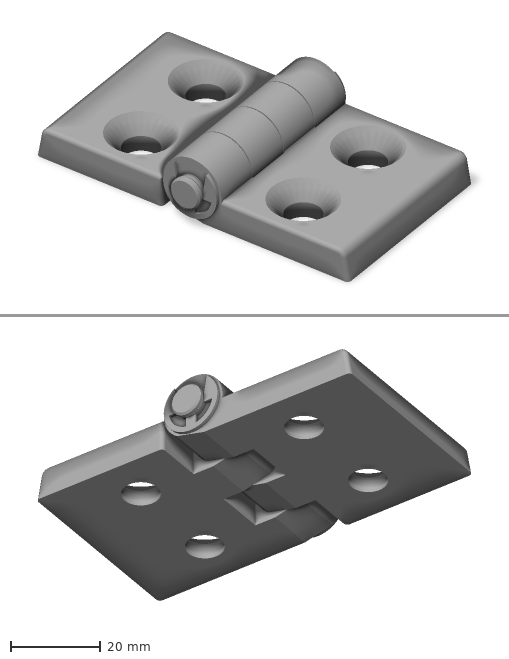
import cadquery as cq
import math

hinge_span = 85.97
leaf_width = 48.0
leaf_thickness = 8.0
leaf_end_slope = 10.0
end_fillet = 2.2
side_fillet = 1.0

knuckle_radius = 8.0
axis_height = 16.5 - knuckle_radius
knuckle_count = 4
knuckle_gap = 0.3
knuckle_pitch = (leaf_width + knuckle_gap) / knuckle_count
knuckle_length = knuckle_pitch - knuckle_gap
pocket_face_x = 8.3
heel_x = 2.95
heel_slope = 14.0

hole_x = 22.35
hole_spacing = 25.0
hole_diameter = 9.0
countersink_diameter = 17.0
countersink_angle = 90.0

pin_length = 54.25
pin_radius = 4.0
pin_chamfer = 0.45
groove_radius = 3.7
groove_width = 1.35

clip_thickness = 1.0
clip_radius = 7.35
clip_relief_radius = 6.0
clip_relief_top = -1.0
clip_prong_half_width = 1.3
mouth_half_width = 4.43
mouth_slope = 9.3


def cylinder_along_y(radius, start_y, length):
    """Cylinder on the hinge axis, from start_y toward +Y."""
    return cq.Workplane(cq.Solid.makeCylinder(
        radius, length, cq.Vector(0, start_y, axis_height), cq.Vector(0, 1, 0)))


def slab(x_min, x_max, y_min, y_max, z_min, z_max):
    """Axis-aligned block between the given limits."""
    size = (x_max - x_min, y_max - y_min, z_max - z_min)
    return cq.Workplane().box(*size, centered=False).translate((x_min, y_min, z_min))


def knuckle_start(index):
    return -leaf_width / 2 + index * knuckle_pitch


def relieve_underside(leaf):
    """Cut the slope that rises from the heel, so that the leaf clears the other one when folded."""
    run = heel_x + knuckle_radius
    rise = run * math.tan(math.radians(heel_slope))
    wedge = (
        cq.Workplane("XZ")
        .polyline([(-heel_x, 0), (knuckle_radius, 0), (knuckle_radius, rise)])
        .close()
        .extrude(leaf_width, both=True)
    )
    return leaf.cut(wedge)


def make_leaf():
    """Leaf on the -X side, carrying the second and fourth knuckles counted from -Y."""
    outer_x = -hinge_span / 2
    top_outer_x = outer_x + leaf_thickness * math.tan(math.radians(leaf_end_slope))
    half_width = leaf_width / 2
    leaf = (
        cq.Workplane("XZ")
        .polyline([(outer_x, 0), (0, 0), (0, axis_height),
                   (-knuckle_radius, leaf_thickness), (top_outer_x, leaf_thickness)])
        .close()
        .extrude(half_width, both=True)
    )
    for index in range(0, knuckle_count, 2):
        start = knuckle_start(index) - knuckle_gap
        end = knuckle_start(index + 1)
        leaf = leaf.cut(slab(-pocket_face_x, knuckle_radius, start, end, 0, 2 * axis_height))

    end_edge = cq.selectors.NearestToPointSelector((top_outer_x, 0, leaf_thickness))
    leaf = leaf.edges(end_edge).fillet(end_fillet)
    middle_x = -hinge_span / 4
    side_edges = cq.Workplane().newObject([
        leaf.edges(cq.selectors.NearestToPointSelector(point)).val()
        for point in [
            (middle_x, -half_width, leaf_thickness),
            (middle_x, half_width, leaf_thickness),
            (-pocket_face_x, -half_width, leaf_thickness / 2),
        ]
    ])
    leaf = cq.Workplane(leaf.val().fillet(side_fillet, side_edges.vals()))

    for index in range(1, knuckle_count, 2):
        leaf = leaf.union(cylinder_along_y(knuckle_radius, knuckle_start(index), knuckle_length))
    leaf = relieve_underside(leaf)
    leaf = leaf.cut(cylinder_along_y(pin_radius, -half_width, leaf_width))

    return (
        leaf.copyWorkplane(cq.Workplane("XY", origin=(0, 0, leaf_thickness)))
        .pushPoints([(-hole_x, -hole_spacing / 2), (-hole_x, hole_spacing / 2)])
        .cskHole(hole_diameter, countersink_diameter, countersink_angle)
    )


def make_pin():
    """Pin with a clip groove outside each end knuckle and a chamfered head beyond each groove."""
    neck_length = leaf_width + 2 * groove_width
    head_length = (pin_length - neck_length) / 2
    pin = cylinder_along_y(pin_radius, -leaf_width / 2, leaf_width)
    pin = pin.union(cylinder_along_y(groove_radius, -neck_length / 2, neck_length))
    for start in (-pin_length / 2, neck_length / 2):
        head = cylinder_along_y(pin_radius, start, head_length)
        pin = pin.union(head.faces("<Y or >Y").chamfer(pin_chamfer))
    return pin


def make_clip(start):
    """E-shaped clip, mouth up, in a pin groove."""
    end = start + clip_thickness
    clip = cylinder_along_y(clip_radius, start, clip_thickness)

    relief = cylinder_along_y(clip_relief_radius, start, clip_thickness)
    relief = relief.intersect(
        slab(-clip_radius, clip_radius, start, end, 0, axis_height + clip_relief_top))
    relief = relief.cut(
        slab(-clip_prong_half_width, clip_prong_half_width, start, end, 0, axis_height))
    clip = clip.cut(relief)

    rim_height = math.sqrt(clip_radius**2 - mouth_half_width**2)
    taper = math.tan(math.radians(mouth_slope))
    throat = mouth_half_width - rim_height * taper
    opening = throat + clip_radius * taper
    top = axis_height + clip_radius
    mouth = (
        cq.Workplane("XZ", origin=(0, end, 0))
        .polyline([(-throat, axis_height), (throat, axis_height), (opening, top), (-opening, top)])
        .close()
        .extrude(clip_thickness)
    )
    return clip.cut(mouth).cut(cylinder_along_y(groove_radius, start, clip_thickness))


left_leaf = make_leaf()
right_leaf = left_leaf.rotate((0, 0, 0), (0, 0, 1), 180)
pin = make_pin()
clips = [make_clip(start) for start in (-leaf_width / 2 - clip_thickness, leaf_width / 2)]

result = cq.Compound.makeCompound(
    [left_leaf.val(), right_leaf.val(), pin.val(), *[clip.val() for clip in clips]])